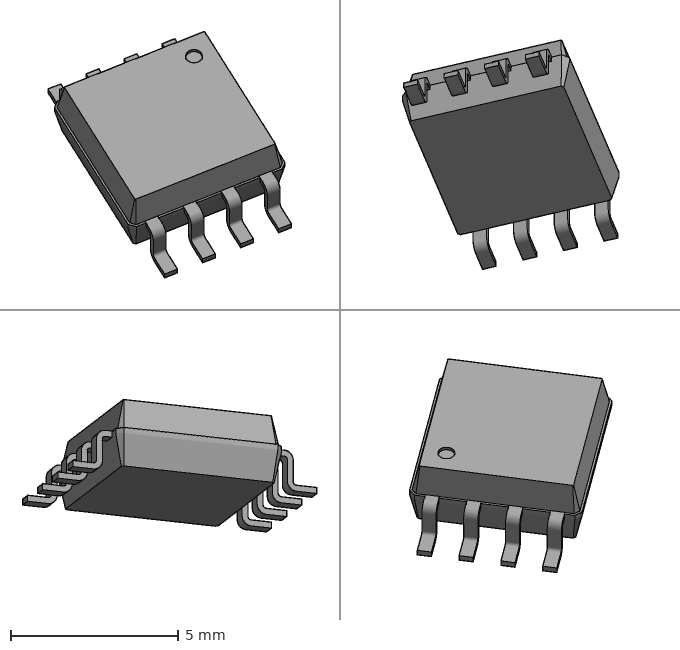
import cadquery as cq
import math

total_span = 7.8
total_height = 2.2
standoff = 0.1

band_length = 5.29
band_width = 5.24
band_thickness = 0.18
band_corner = 0.185
upper_inset = 0.07
taper_angle = 12.0

lead_thickness = 0.19
lead_width = 0.43
lead_pitch = 1.27
leads_per_side = 4
shank_outer_x = 3.145
bend_inner_radius = 0.1
lead_embed = 0.3

mark_diameter = 0.5
mark_depth = 0.1
mark_edge_offset = 0.7

half_height = (total_height - standoff - band_thickness) / 2
band_bottom = standoff + half_height
band_top = band_bottom + band_thickness
shoulder_top = (band_bottom + band_top + lead_thickness) / 2
shoulder_bottom = shoulder_top - lead_thickness
bend_outer_radius = bend_inner_radius + lead_thickness
taper_inset = half_height * math.tan(math.radians(taper_angle))


def body_outline(z, inset=0.0):
    """Rectangle with cut corners, every side moved inward by the inset."""
    corner = band_corner - inset * (2 - math.sqrt(2))
    half_x = band_length / 2 - inset
    half_y = band_width / 2 - inset
    points = [
        (half_x, half_y - corner),
        (half_x - corner, half_y),
        (corner - half_x, half_y),
        (-half_x, half_y - corner),
        (-half_x, corner - half_y),
        (corner - half_x, -half_y),
        (half_x - corner, -half_y),
        (half_x, corner - half_y),
    ]
    return cq.Workplane("XY").workplane(offset=z).polyline(points).close()


def tapered_half(base_z, end_z, base_inset):
    """Half of the body, narrowing from the band to its outer face."""
    base = body_outline(base_z, base_inset).wire().val()
    end = body_outline(end_z, base_inset + taper_inset).wire().val()
    return cq.Workplane(cq.Solid.makeLoft([base, end], True))


def make_body():
    band = body_outline(band_bottom).extrude(band_thickness)
    upper = tapered_half(band_top, total_height, upper_inset)
    lower = tapered_half(band_bottom, standoff, 0.0)
    return band.union(upper).union(lower)


def make_pin_mark():
    mark_x = band_length / 2 - upper_inset - taper_inset - mark_edge_offset
    mark_y = band_width / 2 - upper_inset - taper_inset - mark_edge_offset
    return (
        cq.Workplane("XY", origin=(-mark_x, mark_y, total_height - mark_depth))
        .circle(mark_diameter / 2)
        .extrude(mark_depth)
    )


def make_lead():
    """Lead on the +X side, centred on Y = 0: shoulder, shank and foot with four rounded bends."""
    root_x = band_length / 2 - lead_embed
    tip_x = total_span / 2
    shank_inner_x = shank_outer_x - lead_thickness
    profile = [
        (root_x, shoulder_top),
        (shank_outer_x, shoulder_top),
        (shank_outer_x, lead_thickness),
        (tip_x, lead_thickness),
        (tip_x, 0),
        (shank_inner_x, 0),
        (shank_inner_x, shoulder_bottom),
        (root_x, shoulder_bottom),
    ]
    lead = cq.Workplane("XZ").polyline(profile).close().extrude(lead_width / 2, both=True)

    def bend_edge(x, z):
        return cq.selectors.NearestToPointSelector((x, 0, z))

    outer_bends = bend_edge(shank_outer_x, shoulder_top) + bend_edge(shank_inner_x, 0)
    inner_bends = bend_edge(shank_outer_x, lead_thickness) + bend_edge(shank_inner_x, shoulder_bottom)
    lead = lead.edges(outer_bends).fillet(bend_outer_radius)
    return lead.edges(inner_bends).fillet(bend_inner_radius)


def add_leads(body):
    right_lead = make_lead()
    left_lead = right_lead.mirror("YZ")
    for index in range(leads_per_side):
        lead_y = (index - (leads_per_side - 1) / 2) * lead_pitch
        for lead in (right_lead, left_lead):
            body = body.union(lead.translate((0, lead_y, 0)))
    return body


result = add_leads(make_body()).cut(make_pin_mark())